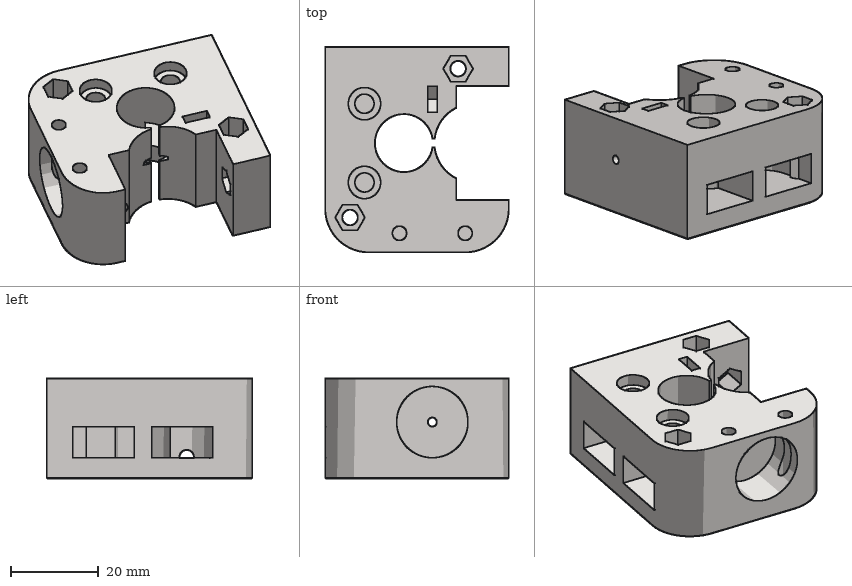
import cadquery as cq
import math

LENGTH_X, LENGTH_Y, HEIGHT = 42.0, 47.0, 23.0
CORNER_RADIUS = 10.0
BOTTOM_CHAMFER = 0.3
MID_Y = 25.0
MID_Z = 13.0

NOTCH_X = 30.0
NOTCH_WIDTH = 26.0
BORE_X, BORE_RADIUS = 18.0, 6.6
GEAR_X, GEAR_RADIUS = 34.0, 9.0
SLIT_WIDTH = 2.0

FILAMENT_X, FILAMENT_DIAMETER = 24.5, 2.0
SOCKET_DIAMETER, SOCKET_DEPTH = 16.3, 10.0
SOCKET_SCREW_SPACING, SOCKET_SCREW_Y = 15.0, 4.4
SOCKET_SCREW_FLOOR = 3.0

PIVOT_X, PIVOT_OFFSET = 9.0, 9.0
COUNTERBORE_DIAMETER, COUNTERBORE_DEPTH = 7.4, 2.7
PIVOT_HOLE_DIAMETER = 4.4
POCKET_RADIUS = 7.0
POCKET_FLOOR, POCKET_HEIGHT = 4.8, 7.1

NUT_ACROSS_CORNERS = 6.8
NUT_ACROSS_FLATS = NUT_ACROSS_CORNERS * math.cos(math.pi / 6)
MOUNT_CENTERS = [(5.7, 8.0), (30.4, 42.0)]
MOUNT_HOLE_DIAMETER, MOUNT_NUT_DEPTH = 3.5, 10.0
SCREW_DIAMETER = 3.25
SPRING_SCREW_OFFSET, SPRING_SCREW_Z = 10.0, 5.0
NUT_SLOT_WIDTH = 2.2
NUT_SLOT_Z = HEIGHT - SPRING_SCREW_Z
ARM_NUT_X, ARM_NUT_DEPTH = 37.0, 6.0


def upright_cylinder(x, y, diameter, bottom, top):
    """Vertical cylinder between two heights."""
    return cq.Workplane("XY", origin=(x, y, bottom)).circle(diameter / 2).extrude(top - bottom)


def block_between(x_range, y_range, z_range):
    """Axis-aligned block given by its limits."""
    sizes = [limits[1] - limits[0] for limits in (x_range, y_range, z_range)]
    corner = (x_range[0], y_range[0], z_range[0])
    return cq.Workplane("XY").box(*sizes, centered=False).translate(corner)


def body():
    """Block with two rounded front corners and a small chamfer round the bottom."""
    block = cq.Workplane("XY").box(LENGTH_X, LENGTH_Y, HEIGHT, centered=False)
    return block.edges("|Z and <Y").fillet(CORNER_RADIUS).faces("<Z").chamfer(BOTTOM_CHAMFER)


def middle_cutouts():
    """Bore, gear recess, the slit joining them and the notch open to +X."""
    notch_limits = (MID_Y - NOTCH_WIDTH / 2, MID_Y + NOTCH_WIDTH / 2)
    slit_limits = (MID_Y - SLIT_WIDTH / 2, MID_Y + SLIT_WIDTH / 2)
    bore = upright_cylinder(BORE_X, MID_Y, 2 * BORE_RADIUS, 0, HEIGHT)
    gear = upright_cylinder(GEAR_X, MID_Y, 2 * GEAR_RADIUS, 0, HEIGHT)
    notch = block_between((NOTCH_X, LENGTH_X), notch_limits, (0, HEIGHT))
    slit = block_between((BORE_X, GEAR_X), slit_limits, (0, HEIGHT))
    return bore.union(gear).union(notch).union(slit)


def filament_path():
    """Round socket in the front and the filament hole running on through the block."""
    start = cq.Workplane("XZ", origin=(FILAMENT_X, 0, MID_Z))
    socket = start.circle(SOCKET_DIAMETER / 2).extrude(-SOCKET_DEPTH)
    return socket.union(start.circle(FILAMENT_DIAMETER / 2).extrude(-LENGTH_Y))


def socket_screw(side):
    """Blind screw hole crossing one flank of the socket."""
    x = FILAMENT_X + side * SOCKET_SCREW_SPACING / 2
    return upright_cylinder(x, SOCKET_SCREW_Y, SCREW_DIAMETER, SOCKET_SCREW_FLOOR, HEIGHT)


def pivot_hole(side):
    """Counterbored hole from the top down to the floor of its side pocket."""
    y = MID_Y + side * PIVOT_OFFSET
    head = upright_cylinder(PIVOT_X, y, COUNTERBORE_DIAMETER, HEIGHT - COUNTERBORE_DEPTH, HEIGHT)
    return head.union(upright_cylinder(PIVOT_X, y, PIVOT_HOLE_DIAMETER, POCKET_FLOOR, HEIGHT))


def side_pocket(side):
    """Pocket open to -X whose inner end is rounded on the side away from the bore."""
    center_y = MID_Y + side * PIVOT_OFFSET
    outer_y = center_y + side * POCKET_RADIUS
    inner_y = center_y - side * POCKET_RADIUS
    end_x = PIVOT_X + POCKET_RADIUS
    diagonal = POCKET_RADIUS * math.sqrt(0.5)
    return (
        cq.Workplane("XY", origin=(0, 0, POCKET_FLOOR))
        .moveTo(0, inner_y)
        .lineTo(end_x, inner_y)
        .lineTo(end_x, center_y)
        .threePointArc((PIVOT_X + diagonal, center_y + side * diagonal), (PIVOT_X, outer_y))
        .lineTo(0, outer_y)
        .close()
        .extrude(POCKET_HEIGHT)
    )


def pocket_corner():
    """Squares off the rear pocket beyond the plane of the rear notch wall."""
    start_y = MID_Y + NOTCH_WIDTH / 2
    rear_center_y = MID_Y + PIVOT_OFFSET
    end_x = PIVOT_X + math.sqrt(POCKET_RADIUS**2 - (start_y - rear_center_y) ** 2)
    y_limits = (start_y, rear_center_y + POCKET_RADIUS)
    return block_between((0, end_x), y_limits, (POCKET_FLOOR, POCKET_FLOOR + POCKET_HEIGHT))


def mount_hole(x, y):
    """Through hole with a hexagonal nut recess in the top."""
    nut = (
        cq.Workplane("XY", origin=(x, y, HEIGHT - MOUNT_NUT_DEPTH))
        .polygon(6, NUT_ACROSS_CORNERS)
        .extrude(MOUNT_NUT_DEPTH)
    )
    return nut.union(upright_cylinder(x, y, MOUNT_HOLE_DIAMETER, 0, HEIGHT))


def spring_screw():
    """Horizontal screw hole from the front side pocket to the notch, starting clear of the pivot hole."""
    start_x = PIVOT_X + COUNTERBORE_DIAMETER / 2
    start = cq.Workplane("YZ", origin=(start_x, MID_Y - SPRING_SCREW_OFFSET, SPRING_SCREW_Z))
    return start.circle(SCREW_DIAMETER / 2).extrude(NOTCH_X - start_x)


def nut_slot():
    """Slot for an upright nut, open at the top and ending in the lower half of a hexagon."""
    y = MID_Y + SPRING_SCREW_OFFSET
    half_width = NUT_ACROSS_FLATS / 2
    corner_z = NUT_ACROSS_CORNERS / 4
    return (
        cq.Workplane("YZ", origin=(FILAMENT_X - NUT_SLOT_WIDTH / 2, y, NUT_SLOT_Z))
        .moveTo(0, -NUT_ACROSS_CORNERS / 2)
        .lineTo(half_width, -corner_z)
        .lineTo(half_width, HEIGHT - NUT_SLOT_Z)
        .lineTo(-half_width, HEIGHT - NUT_SLOT_Z)
        .lineTo(-half_width, -corner_z)
        .close()
        .extrude(NUT_SLOT_WIDTH)
    )


def arm_nut():
    """Hexagonal nut recess in the rear notch wall, one corner pointing up."""
    start = cq.Workplane("XZ", origin=(ARM_NUT_X, MID_Y + NOTCH_WIDTH / 2, MID_Z))
    return start.transformed(rotate=(0, 0, 30)).polygon(6, NUT_ACROSS_CORNERS).extrude(-ARM_NUT_DEPTH)


result = body().cut(middle_cutouts()).cut(filament_path())
for side in (-1, 1):
    result = result.cut(socket_screw(side)).cut(pivot_hole(side)).cut(side_pocket(side))
for x, y in MOUNT_CENTERS:
    result = result.cut(mount_hole(x, y))
result = result.cut(pocket_corner()).cut(spring_screw()).cut(nut_slot()).cut(arm_nut())